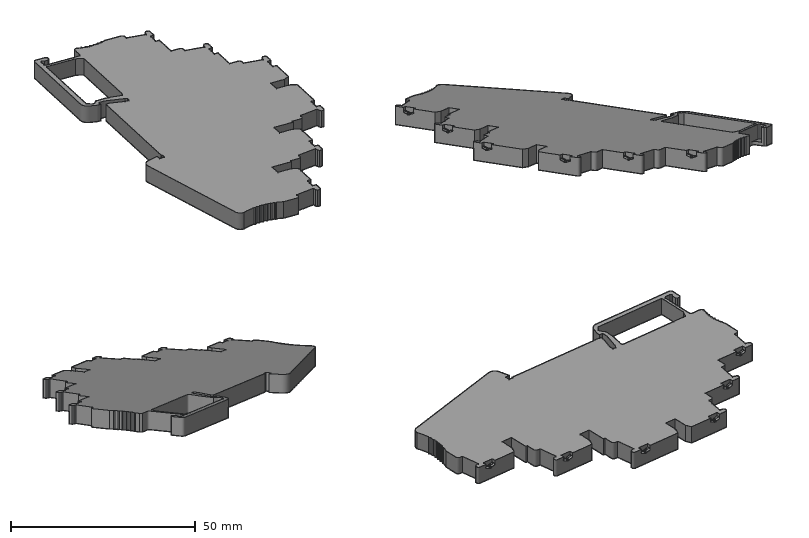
import cadquery as cq
import math

LENGTH = 99.5
HEIGHT = 56.5
THICKNESS = 5.2

TIER_COUNT = 3
TIER_RISE = 10.7
LEFT_TIER_STEP = 13.5
RIGHT_TIER_STEP = 18.5
LOWEST_TIER_TOP = HEIGHT - (TIER_COUNT - 1) * TIER_RISE
TIER_TOPS = [LOWEST_TIER_TOP + i * TIER_RISE for i in range(TIER_COUNT)]
LEFT_EDGES = [i * LEFT_TIER_STEP for i in range(TIER_COUNT)]
RIGHT_EDGES = [LENGTH - i * RIGHT_TIER_STEP for i in range(TIER_COUNT)]

LEDGE_OUTER = (0, 7.3)
NECK_BOTTOM = (1.6, 7.3)
NECK_TOP = (2.5, 1.6)
LIP_UNDERSIDE = (1.6, 1.5)
LIP_TIP = (1.1, 1.1)
LIP_TOP = (1.1, 0)
TIER_END = [LEDGE_OUTER, NECK_BOTTOM, NECK_TOP, LIP_UNDERSIDE, LIP_TIP, LIP_TOP]
LEDGE_RADIUS = 0.8
LIP_RADIUS = 0.6

SLOT_WIDTH = 3.3
SLOT_DEPTH = 6.0
SLOT_SETBACK = 0.6
SLOT_FLARE = 0.8
SLOT_FLARE_DEPTH = 1.7
TOP_SLOT_LEFT = 41.7

NOTCH_INSET = 3.9
NOTCH_WIDTH = 3.1
NOTCH_LENGTH = 1.1
NOTCH_SIDE_DEPTH = 1.0
NOTCH_SAG = 0.4
NOTCH_SLOPE_DROP = 0.3
NOTCH_GROOVE_WIDTH = 0.6
NOTCH_GROOVE_DEPTH = 0.5

LEFT_GRIP_TOP = 22.2
LEFT_GRIP_BOTTOM = 13.2
LEFT_GRIP_SAG = 0.8
RIGHT_GRIP_TOP = 23.1
RIGHT_GRIP_SAG = 1.2
RIB_COUNT = 6
LOWEST_RIB = 14.8
HIGHEST_RIB = 21.0
RIB_PITCH = (HIGHEST_RIB - LOWEST_RIB) / (RIB_COUNT - 1)
RIB_WIDTH = 0.6

UNDERSIDE = 12.5
CORNER_BEVEL = 0.5
RAIL_SEAT = 6.0
RAIL_SEAT_START = 30.4
SLIT_RIGHT = 31.6
SLIT_BEND_TOP = 11.2
SLIT_BEND_BOTTOM = 7.2
UNDERCUT_LEFT = 61.7
UNDERCUT_RIGHT = 63.0
UNDERCUT_TOP = 6.3
UNDERCUT_BOTTOM = 4.8
FOOT_SLOPE = math.radians(15)
FOOT_RADIUS = 2.0
FOOT_CENTER = (64.5, FOOT_RADIUS)
HEEL_CENTER_X = LENGTH - FOOT_RADIUS
HEEL_CENTER = (HEEL_CENTER_X, FOOT_RADIUS + (HEEL_CENTER_X - FOOT_CENTER[0]) * math.tan(FOOT_SLOPE))

FRAME_FLOOR = 1.5
FRAME_LEFT = 0.4
POST_LEFT = 4.1
POST_RIGHT = 5.0
HOOK_TOP = 4.2
HOOK_BEVEL = 0.5
HOOK_CORNER_RADIUS = 0.8
HOOK_BARB = 2.0
HOOK_ROOT = 1.6
HOOK_BARB_BOTTOM = 2.6
HOOK_FLOOR_BEVEL = 0.4
WEB_THICKNESS = 1.0
WEB_FILLET = 0.9
POST_FILLET = 0.6
WINDOW_FLARE = 0.9
WINDOW_FLARE_DEPTH = 2.0
WINDOW_TOP_RIGHT = 28.4
WINDOW_CORNER_RADIUS = 0.5

ARM_INNER = 27.5
ARM_INNER_BEND = 7.8
ARM_OUTER = 28.7
ARM_OUTER_BEND = 6.6
ARM_OUTER_TOP = (30.2, 11.9)
SLIT_LEFT = 30.6
TOE_TIP = 29.8
TOE_TIP_BOTTOM = 3.8
TOE_ROUND_START = (29.2, 1.8)
TOE_ROUND_MIDDLE = (28.5, 0.6)
TOE_ROUND_END = 27.3
TOE_POCKET_TOP = 4.5
TOE_POCKET_RIGHT = 28.5
TOE_POCKET_BULGE_TOP = 3.5
TOE_POCKET_BULGE_BOTTOM = 2.8
TOE_POCKET_RADIUS = 0.6


def on_circle(center, radius, angle):
    """Point on a circle at an angle in radians."""
    return (center[0] + radius * math.cos(angle), center[1] + radius * math.sin(angle))


def prism(points):
    """Straight-sided block of full plate thickness."""
    return cq.Workplane("XY").polyline(points).close().extrude(THICKNESS)


def tier_end(edge, top, inward):
    """Lip and neck from the ledge up; inward is +1 at a left end, -1 at a right end."""
    return [(edge + inward * inset, top - drop) for inset, drop in TIER_END]


def round_corners(solid, corners, radius):
    """Fillet the upright edges that stand at the given (x, y) corners."""
    for x, y in corners:
        edge = cq.NearestToPointSelector((x, y, THICKNESS / 2))
        solid = solid.edges("|Z").edges(edge).fillet(radius)
    return solid


def tier_corners(inset, drop):
    """The same corner at both ends of every tier."""
    corners = []
    for left, right, top in zip(LEFT_EDGES, RIGHT_EDGES, TIER_TOPS):
        corners.append((left + inset, top - drop))
        corners.append((right - inset, top - drop))
    return corners


def housing():
    """Stepped plate with hollow grips and the sloping foot, outlined clockwise from the left grip."""
    left_profile = []
    for edge, top in zip(LEFT_EDGES, TIER_TOPS):
        if edge > 0:
            left_profile.append((edge, top - TIER_RISE))
        left_profile += tier_end(edge, top, 1)

    right_profile = []
    for edge, top in reversed(list(zip(RIGHT_EDGES, TIER_TOPS))):
        right_profile += reversed(tier_end(edge, top, -1))
        if edge < LENGTH:
            right_profile.append((edge, top - TIER_RISE))

    quarter = math.pi / 2
    heel_middle = (FOOT_SLOPE - quarter) / 2
    foot_left = FOOT_SLOPE - 2 * quarter
    foot_right = FOOT_SLOPE - quarter
    right_grip_middle = (LENGTH - RIGHT_GRIP_SAG, (RIGHT_GRIP_TOP + HEEL_CENTER[1]) / 2)
    left_grip_middle = (LEFT_GRIP_SAG, (LEFT_GRIP_TOP + LEFT_GRIP_BOTTOM) / 2)
    flank = on_circle(FOOT_CENTER, FOOT_RADIUS, foot_left)
    flank_top = (flank[0] - (UNDERCUT_BOTTOM - flank[1]) * math.tan(FOOT_SLOPE), UNDERCUT_BOTTOM)

    outline = (
        cq.Workplane("XY")
        .polyline([(0, LEFT_GRIP_TOP)] + left_profile + right_profile + [(LENGTH, RIGHT_GRIP_TOP)])
        .threePointArc(right_grip_middle, (LENGTH, HEEL_CENTER[1]))
        .threePointArc(
            on_circle(HEEL_CENTER, FOOT_RADIUS, heel_middle),
            on_circle(HEEL_CENTER, FOOT_RADIUS, foot_right),
        )
        .lineTo(*on_circle(FOOT_CENTER, FOOT_RADIUS, foot_right))
        .threePointArc(on_circle(FOOT_CENTER, FOOT_RADIUS, (foot_left + foot_right) / 2), flank)
        .lineTo(*flank_top)
        .lineTo(UNDERCUT_RIGHT, UNDERCUT_BOTTOM)
        .lineTo(UNDERCUT_RIGHT, UNDERCUT_TOP)
        .lineTo(UNDERCUT_LEFT, UNDERCUT_TOP)
        .lineTo(UNDERCUT_LEFT, RAIL_SEAT)
        .lineTo(RAIL_SEAT_START, RAIL_SEAT)
        .lineTo(RAIL_SEAT_START, SLIT_BEND_BOTTOM)
        .lineTo(SLIT_RIGHT, SLIT_BEND_TOP)
        .lineTo(SLIT_RIGHT, UNDERSIDE)
        .lineTo(CORNER_BEVEL, UNDERSIDE)
        .lineTo(0, LEFT_GRIP_BOTTOM)
        .threePointArc(left_grip_middle, (0, LEFT_GRIP_TOP))
        .close()
    )
    plate = outline.extrude(THICKNESS)
    plate = round_corners(plate, tier_corners(*LEDGE_OUTER), LEDGE_RADIUS)
    return round_corners(plate, tier_corners(*LIP_TOP), LIP_RADIUS)


def grip_inset(y, top, bottom, sag):
    """Distance of a grip hollow from the straight end at height y."""
    half_chord = (top - bottom) / 2
    radius = (half_chord ** 2 + sag ** 2) / (2 * sag)
    offset = y - (top + bottom) / 2
    return math.sqrt(radius ** 2 - offset ** 2) - (radius - sag)


def grip_ribs():
    centers = []
    for i in range(RIB_COUNT):
        y = LOWEST_RIB + i * RIB_PITCH
        left_inset = grip_inset(y, LEFT_GRIP_TOP, LEFT_GRIP_BOTTOM, LEFT_GRIP_SAG)
        right_inset = grip_inset(y, RIGHT_GRIP_TOP, HEEL_CENTER[1], RIGHT_GRIP_SAG)
        centers.append((left_inset, y))
        centers.append((LENGTH - right_inset, y))
    return cq.Workplane("XY").pushPoints(centers).polygon(4, RIB_WIDTH).extrude(THICKNESS)


def bridge_slot(left, top, flare_left):
    """Slot with a flared right mouth; the left wall stays straight when flare_left is 0."""
    right = left + SLOT_WIDTH
    flare_bottom = top - SLOT_FLARE_DEPTH
    return prism([
        (left, top - SLOT_DEPTH),
        (right, top - SLOT_DEPTH),
        (right, flare_bottom),
        (right + SLOT_FLARE, top),
        (left - flare_left, top),
        (left, flare_bottom),
    ])


def bridge_slots():
    slots = bridge_slot(TOP_SLOT_LEFT, HEIGHT, SLOT_FLARE)
    for edge, top in zip(RIGHT_EDGES[1:], TIER_TOPS):
        slots = slots.union(bridge_slot(edge + SLOT_SETBACK, top, 0))
    return slots


def marker_notch(center_x, top):
    """Notch with a hollow floor that falls away towards the open side."""
    half = NOTCH_WIDTH / 2
    side_z = THICKNESS - NOTCH_SIDE_DEPTH
    back = top - NOTCH_LENGTH
    middle = top - NOTCH_LENGTH / 2
    floor_z = side_z - NOTCH_SAG

    def section(y, drop):
        low = side_z - drop
        return (
            cq.Workplane("XZ", origin=(center_x, y, 0))
            .moveTo(-half, THICKNESS)
            .lineTo(-half, low)
            .threePointArc((0, low - NOTCH_SAG), (half, low))
            .lineTo(half, THICKNESS)
            .close()
        )

    inner = section(middle, 0).extrude(middle - back)
    mouth_ends = [section(middle, 0).val(), section(top, NOTCH_SLOPE_DROP).val()]
    mouth = cq.Workplane(cq.Solid.makeLoft(mouth_ends, True))
    groove = (
        cq.Workplane("XY", origin=(center_x, middle, floor_z - NOTCH_GROOVE_DEPTH))
        .rect(NOTCH_GROOVE_WIDTH, NOTCH_LENGTH)
        .extrude(THICKNESS)
    )
    return inner.union(mouth).union(groove)


def latch_frame():
    """Hook, post, bottom bar and slanted arm around an open window."""
    corner_center = (FRAME_LEFT + HOOK_CORNER_RADIUS, HOOK_CORNER_RADIUS)
    outer = (
        cq.Workplane("XY")
        .moveTo(POST_LEFT, UNDERSIDE)
        .lineTo(POST_LEFT, FRAME_FLOOR + HOOK_FLOOR_BEVEL)
        .lineTo(POST_LEFT - HOOK_FLOOR_BEVEL, FRAME_FLOOR)
        .lineTo(HOOK_BARB, FRAME_FLOOR)
        .lineTo(HOOK_ROOT, FRAME_FLOOR + HOOK_FLOOR_BEVEL)
        .lineTo(HOOK_BARB, HOOK_BARB_BOTTOM)
        .lineTo(HOOK_BARB, HOOK_TOP - HOOK_BEVEL)
        .lineTo(HOOK_ROOT, HOOK_TOP)
        .lineTo(FRAME_LEFT + HOOK_BEVEL, HOOK_TOP)
        .lineTo(FRAME_LEFT, HOOK_TOP - HOOK_BEVEL)
        .lineTo(FRAME_LEFT, HOOK_CORNER_RADIUS)
        .threePointArc(
            on_circle(corner_center, HOOK_CORNER_RADIUS, math.radians(225)),
            (FRAME_LEFT + HOOK_CORNER_RADIUS, 0),
        )
        .lineTo(TOE_ROUND_END, 0)
        .threePointArc(TOE_ROUND_MIDDLE, TOE_ROUND_START)
        .lineTo(TOE_TIP, TOE_TIP_BOTTOM)
        .lineTo(TOE_TIP, UNDERCUT_BOTTOM)
        .lineTo(ARM_OUTER, UNDERCUT_BOTTOM)
        .lineTo(ARM_OUTER, ARM_OUTER_BEND)
        .lineTo(*ARM_OUTER_TOP)
        .lineTo(SLIT_LEFT, UNDERSIDE)
        .close()
        .extrude(THICKNESS)
    )
    window = prism([
        (POST_RIGHT, FRAME_FLOOR),
        (POST_RIGHT, UNDERSIDE - WINDOW_FLARE_DEPTH),
        (POST_RIGHT + WINDOW_FLARE, UNDERSIDE),
        (WINDOW_TOP_RIGHT, UNDERSIDE),
        (ARM_INNER, ARM_INNER_BEND),
        (ARM_INNER, TOE_POCKET_TOP),
        (TOE_POCKET_RIGHT, TOE_POCKET_BULGE_TOP),
        (TOE_POCKET_RIGHT, TOE_POCKET_BULGE_BOTTOM),
        (ARM_INNER, FRAME_FLOOR),
    ])
    window = round_corners(window, [(WINDOW_TOP_RIGHT, UNDERSIDE)], WINDOW_CORNER_RADIUS)
    pocket_corners = [
        (TOE_POCKET_RIGHT, TOE_POCKET_BULGE_TOP),
        (TOE_POCKET_RIGHT, TOE_POCKET_BULGE_BOTTOM),
    ]
    window = round_corners(window, pocket_corners, TOE_POCKET_RADIUS)
    return outer.cut(window)


def hook_web():
    """Thin floor between hook and post, blended into the post."""
    middle = WEB_FILLET * (1 - math.sqrt(0.5))
    return (
        cq.Workplane("XY")
        .moveTo(HOOK_ROOT - HOOK_BEVEL, FRAME_FLOOR / 2)
        .lineTo(POST_RIGHT, FRAME_FLOOR / 2)
        .lineTo(POST_RIGHT, HOOK_TOP + WEB_FILLET)
        .lineTo(POST_LEFT, HOOK_TOP + WEB_FILLET)
        .threePointArc((POST_LEFT - middle, HOOK_TOP + middle), (POST_LEFT - WEB_FILLET, HOOK_TOP))
        .lineTo(HOOK_ROOT - HOOK_BEVEL, HOOK_TOP)
        .close()
        .extrude(WEB_THICKNESS)
    )


result = housing().union(grip_ribs()).cut(bridge_slots())
for left_edge, right_edge, tier_top in zip(LEFT_EDGES, RIGHT_EDGES, TIER_TOPS):
    notch_offset = NOTCH_INSET + NOTCH_WIDTH / 2
    result = result.cut(marker_notch(left_edge + notch_offset, tier_top))
    result = result.cut(marker_notch(right_edge - notch_offset, tier_top))
result = result.union(latch_frame())
result = round_corners(result, [(POST_LEFT, UNDERSIDE)], POST_FILLET)
result = result.union(hook_web())